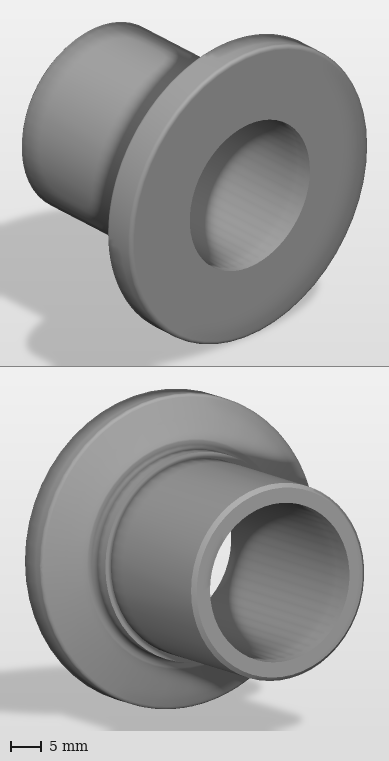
import cadquery as cq
import math

length = 37.85
flange_radius = 51.8 / 2

bore_radius = 26.15 / 2
tube_radius = 32.5 / 2
tube_chamfer = 0.65

collar_radius = 34.55 / 2
collar_start = 26.3

flange_start = 29.55
cone_inner_radius = 18.75
cone_angle = 20.0
edge_radius = 0.65

rim_start = flange_start + (flange_radius - cone_inner_radius) * math.tan(math.radians(cone_angle))


def circle_edges_at(x, radius):
    """Select the circular edges around the X axis at a given position and radius."""
    tolerance = 0.025
    return cq.selectors.BoxSelector(
        (x - tolerance, -radius - tolerance, -radius - tolerance),
        (x + tolerance, radius + tolerance, radius + tolerance),
        boundingbox=True,
    ) - cq.selectors.BoxSelector(
        (x - tolerance, -radius + tolerance, -radius + tolerance),
        (x + tolerance, radius - tolerance, radius - tolerance),
        boundingbox=True,
    )


def make_body():
    """Revolve the half section of tube, collar and flange with sharp corners."""
    section = (
        cq.Workplane("XY")
        .moveTo(0, bore_radius)
        .lineTo(0, tube_radius)
        .lineTo(collar_start, tube_radius)
        .lineTo(collar_start, collar_radius)
        .lineTo(flange_start, collar_radius)
        .lineTo(flange_start, cone_inner_radius)
        .lineTo(rim_start, flange_radius)
        .lineTo(length, flange_radius)
        .lineTo(length, bore_radius)
        .close()
    )
    return section.revolve(360, (0, 0, 0), (1, 0, 0))


body = make_body()

body = body.edges(circle_edges_at(0, tube_radius)).chamfer(tube_chamfer)

rounded_corners = [
    (flange_start, collar_radius),
    (flange_start, cone_inner_radius),
    (rim_start, flange_radius),
    (length, flange_radius),
]
for corner_x, corner_radius in rounded_corners:
    body = body.edges(circle_edges_at(corner_x, corner_radius)).fillet(edge_radius)

result = body